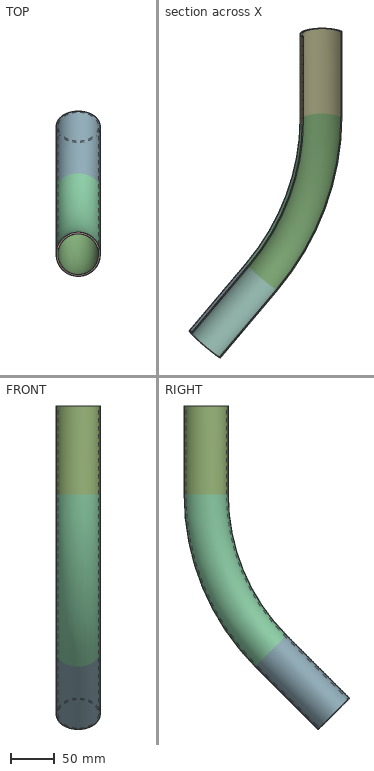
import cadquery as cq
import math

outer_diameter = 50.8
inner_diameter = 46.58

leg_length = 101.6
bend_radius = 5 * outer_diameter
bend_angle = math.radians(45)


def bend_point(angle):
    """Centreline point (Y, Z) at the given angle from the start of the bend."""
    return (
        bend_radius * (1 - math.cos(angle)),
        -bend_radius * math.sin(angle),
    )


def make_centreline():
    """Path in the YZ plane, from the top end down to the lower end, leaning toward +Y."""
    bend_end_y, bend_end_z = bend_point(bend_angle)
    lower_end = (
        bend_end_y + leg_length * math.sin(bend_angle),
        bend_end_z - leg_length * math.cos(bend_angle),
    )
    return (
        cq.Workplane("YZ")
        .moveTo(0, leg_length)
        .lineTo(0, 0)
        .threePointArc(bend_point(bend_angle / 2), (bend_end_y, bend_end_z))
        .lineTo(*lower_end)
    )


def make_tube():
    """Ring section at the top end, swept along the centreline."""
    return (
        cq.Workplane("XY")
        .workplane(offset=leg_length)
        .circle(outer_diameter / 2)
        .circle(inner_diameter / 2)
        .sweep(make_centreline())
    )


result = make_tube()